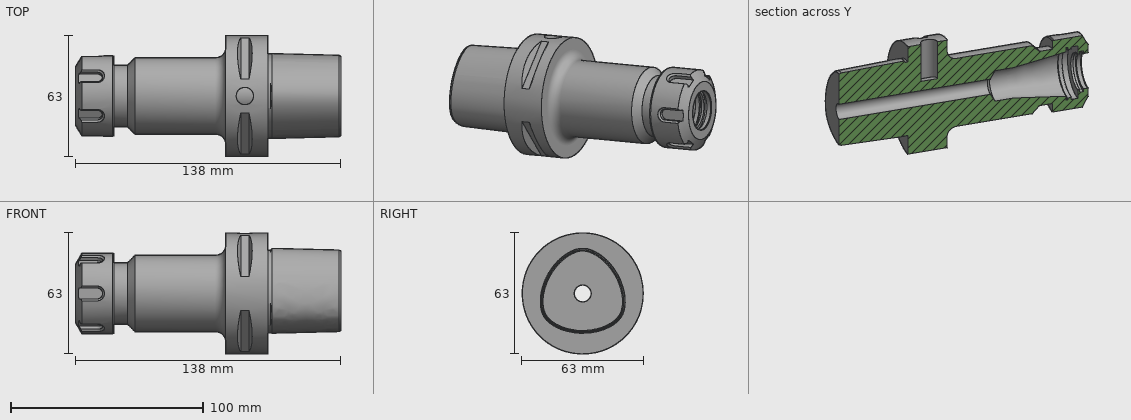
import cadquery as cq
import math

total_length = 138.0

nut_diameter = 42.0
nut_length = 20.0
nut_face_diameter = 30.38
nut_front_chamfer = 3.3
nut_rear_chamfer_length = 0.8
nut_rear_chamfer_depth = 0.3

wrench_slot_count = 6
wrench_slot_first_angle = 180 / wrench_slot_count
wrench_slot_width = 5.7
wrench_slot_end_center_x = 11.2
wrench_slot_floor_radius = 18.0
wrench_slot_rim_chamfer = 1.0

neck_diameter = 32.0
body_diameter = 40.0
body_start_x = 31.0
body_cone_length = (body_diameter - neck_diameter) / 2

flange_diameter = 63.0
flange_start_x = 78.0
flange_end_x = 100.0
flange_fillet = 5.0

flange_feature_x = 88.0
gripper_slot_count = 4
gripper_slot_first_angle = 45.0
gripper_slot_floor_distance = 27.6
gripper_slot_floor_width = 4.25
gripper_slot_rim_width = 7.7
chip_hole_diameter = 9.0
chip_hole_floor_radius = 10.0

shank_taper = 1 / 20
shank_large_width = 44.2
shank_eccentricity = 1.4
shank_taper_start_x = 103.0
shank_neck_end_x = 102.0
shank_neck_inset = 0.1
shank_end_chamfer_length = 1.2
shank_end_chamfer_depth = 0.6
shank_lobe_angle = 90.0
shank_lobe_count = 3
shank_points_per_side = 16
neck_relief_radius = 22.6
neck_relief_straight_end_x = 101.3

nut_opening_rim_diameter = 20.7
nut_opening_diameter = 20.3
nut_opening_chamfer_length = 0.5
nut_opening_end_x = 2.75
nut_groove_diameter = 23.5
nut_groove_end_x = 4.6
nut_ridge_diameter = 20.7
nut_ridge_end_x = 5.9
nut_cavity_diameter = 30.38
nut_collar_diameter = 28.0
nut_collar_start_x = 9.3
nut_collar_end_x = 11.5
nut_cavity_end_x = 12.2

collet_seat_diameter = 25.75
collet_half_angle = math.radians(8)
drilled_diameter = 17.5
drilled_length = 10.0
drill_half_angle = math.radians(59)
coolant_diameter = 8.65


def revolve_about_x(points):
    """Solid of revolution about X from (x, radius) points."""
    return cq.Workplane("XY").polyline(points).close().revolve(360, (0, 0, 0), (1, 0, 0))


def make_body():
    nut_radius = nut_diameter / 2
    body_radius = body_diameter / 2
    flange_radius = flange_diameter / 2
    profile = (
        cq.Workplane("XY")
        .moveTo(0, 0)
        .lineTo(0, nut_face_diameter / 2)
        .lineTo(nut_front_chamfer, nut_radius)
        .lineTo(nut_length - nut_rear_chamfer_length, nut_radius)
        .lineTo(nut_length, nut_radius - nut_rear_chamfer_depth)
        .lineTo(nut_length, neck_diameter / 2)
        .lineTo(body_start_x - body_cone_length, neck_diameter / 2)
        .lineTo(body_start_x, body_radius)
        .lineTo(flange_start_x - flange_fillet, body_radius)
        .radiusArc((flange_start_x, body_radius + flange_fillet), -flange_fillet)
        .lineTo(flange_start_x, flange_radius)
        .lineTo(flange_end_x, flange_radius)
        .lineTo(flange_end_x, 0)
        .close()
    )
    return profile.revolve(360, (0, 0, 0), (1, 0, 0))


def polygon_point(x, width, degrees):
    """Point at x on the polygon curve whose lobes lie at 90, 210 and 330 degrees."""
    turn = math.radians(degrees)
    lobe_phase = shank_lobe_count * math.radians(degrees - shank_lobe_angle)
    reach = width / 2 + shank_eccentricity * math.cos(lobe_phase)
    slide = -shank_lobe_count * shank_eccentricity * math.sin(lobe_phase)
    y = reach * math.cos(turn) - slide * math.sin(turn)
    z = reach * math.sin(turn) + slide * math.cos(turn)
    return cq.Vector(x, y, z)


def polygon_wire(x, width):
    """Closed polygon outline at x, its sides joined in the middle of the flats."""
    side_angle = 360 / shank_lobe_count
    sides = []
    for side in range(shank_lobe_count):
        start = shank_lobe_angle + (side - 0.5) * side_angle
        points = [
            polygon_point(x, width, start + side_angle * step / shank_points_per_side)
            for step in range(shank_points_per_side + 1)
        ]
        first = math.radians(start + 90)
        last = math.radians(start + side_angle + 90)
        tangents = [cq.Vector(0, math.cos(a), math.sin(a)) for a in (first, last)]
        sides.append(cq.Edge.makeSpline(points, tangents))
    return cq.Wire.assembleEdges(sides)


def polygon_section(start_x, start_width, end_x, end_width):
    wires = [polygon_wire(start_x, start_width), polygon_wire(end_x, end_width)]
    return cq.Workplane(obj=cq.Solid.makeLoft(wires, True))


def make_shank():
    neck_width = shank_large_width - 2 * shank_neck_inset
    chamfer_start_x = total_length - shank_end_chamfer_length
    chamfer_width = shank_large_width - shank_taper * (chamfer_start_x - shank_taper_start_x)
    end_width = chamfer_width - 2 * shank_end_chamfer_depth

    neck = polygon_section(flange_end_x, neck_width, shank_neck_end_x, neck_width)
    relief_rise = shank_neck_end_x - neck_relief_straight_end_x
    neck = neck.intersect(
        revolve_about_x(
            [
                (flange_end_x, 0),
                (flange_end_x, neck_relief_radius),
                (neck_relief_straight_end_x, neck_relief_radius),
                (shank_neck_end_x, neck_relief_radius + relief_rise),
                (shank_neck_end_x, 0),
            ]
        )
    )
    shoulder = polygon_section(shank_neck_end_x, shank_large_width, shank_taper_start_x, shank_large_width)
    taper = polygon_section(shank_taper_start_x, shank_large_width, chamfer_start_x, chamfer_width)
    end_chamfer = polygon_section(chamfer_start_x, chamfer_width, total_length, end_width)
    return neck.union(shoulder).union(taper).union(end_chamfer)


def make_wrench_slot():
    """Slot open to the nut face with a round inner end, cut towards +Z."""
    half = wrench_slot_width / 2
    return (
        cq.Workplane("XY", origin=(0, 0, wrench_slot_floor_radius))
        .moveTo(-half, -half)
        .lineTo(wrench_slot_end_center_x, -half)
        .threePointArc((wrench_slot_end_center_x + half, 0), (wrench_slot_end_center_x, half))
        .lineTo(-half, half)
        .close()
        .extrude(nut_diameter / 2)
    )


def chamfer_wrench_slot_rims(part):
    """Chamfer the slot edges that lie on the cylindrical outside of the nut."""
    nut_radius = nut_diameter / 2
    slot_end_x = wrench_slot_end_center_x + wrench_slot_width / 2
    tolerance = 0.01

    def is_slot_rim(edge):
        box = edge.BoundingBox()
        along_front_chamfer = box.xmax < nut_front_chamfer + tolerance
        within_slot = box.xmin > nut_front_chamfer - tolerance and box.xmax < slot_end_x + tolerance
        points = [edge.positionAt(fraction) for fraction in (0, 0.5, 1)]
        on_outside = all(abs(math.hypot(p.y, p.z) - nut_radius) < tolerance for p in points)
        return within_slot and on_outside and not along_front_chamfer

    rims = [edge for edge in part.edges().vals() if is_slot_rim(edge)]
    return part.newObject(rims).chamfer(wrench_slot_rim_chamfer)


def make_gripper_slot():
    depth = flange_diameter / 2 - gripper_slot_floor_distance
    half_floor = gripper_slot_floor_width / 2
    half_rim = gripper_slot_rim_width / 2
    return (
        cq.Workplane("XZ", origin=(flange_feature_x, flange_diameter / 2, gripper_slot_floor_distance))
        .polyline([(-half_floor, 0), (half_floor, 0), (half_rim, depth), (-half_rim, depth)])
        .close()
        .extrude(flange_diameter)
    )


def cut_around_axis(part, cutter, count, first_angle):
    for index in range(count):
        angle = first_angle + index * 360 / count
        part = part.cut(cutter.rotate((0, 0, 0), (1, 0, 0), angle))
    return part


def make_chip_hole():
    """Radial hole whose floor is a cylinder around the tool axis."""
    hole = (
        cq.Workplane("XY", origin=(flange_feature_x, 0, 0))
        .circle(chip_hole_diameter / 2)
        .extrude(flange_diameter)
    )
    core = cq.Workplane("YZ").circle(chip_hole_floor_radius).extrude(total_length)
    return hole.cut(core)


def make_bore():
    seat_length = (collet_seat_diameter - drilled_diameter) / 2 / math.tan(collet_half_angle)
    seat_end_x = nut_cavity_end_x + seat_length
    drilled_end_x = seat_end_x + drilled_length
    drill_tip_length = (drilled_diameter - coolant_diameter) / 2 / math.tan(drill_half_angle)
    return revolve_about_x(
        [
            (0, 0),
            (0, nut_opening_rim_diameter / 2),
            (nut_opening_chamfer_length, nut_opening_diameter / 2),
            (nut_opening_end_x, nut_opening_diameter / 2),
            (nut_opening_end_x, nut_groove_diameter / 2),
            (nut_groove_end_x, nut_groove_diameter / 2),
            (nut_groove_end_x, nut_ridge_diameter / 2),
            (nut_ridge_end_x, nut_ridge_diameter / 2),
            (nut_ridge_end_x, nut_cavity_diameter / 2),
            (nut_collar_start_x, nut_cavity_diameter / 2),
            (nut_collar_start_x, nut_collar_diameter / 2),
            (nut_collar_end_x, nut_collar_diameter / 2),
            (nut_collar_end_x, nut_cavity_diameter / 2),
            (nut_cavity_end_x, nut_cavity_diameter / 2),
            (nut_cavity_end_x, collet_seat_diameter / 2),
            (seat_end_x, drilled_diameter / 2),
            (drilled_end_x, drilled_diameter / 2),
            (drilled_end_x + drill_tip_length, coolant_diameter / 2),
            (total_length, coolant_diameter / 2),
            (total_length, 0),
        ]
    )


part = make_body().union(make_shank())
part = cut_around_axis(part, make_wrench_slot(), wrench_slot_count, wrench_slot_first_angle)
part = chamfer_wrench_slot_rims(part)
part = cut_around_axis(part, make_gripper_slot(), gripper_slot_count, gripper_slot_first_angle)
part = part.cut(make_chip_hole())
result = part.cut(make_bore())